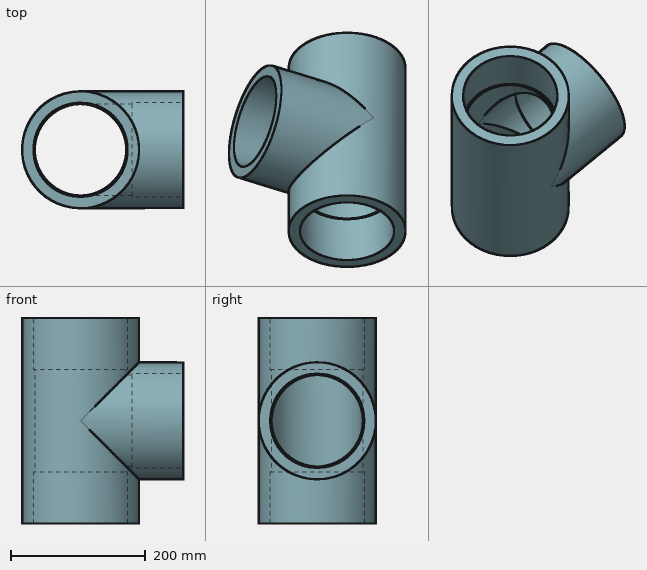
import cadquery as cq

run_length = 306.0
branch_length = run_length / 2
outer_diameter = 174.0
socket_diameter = 140.0
bore_diameter = 136.0
socket_depth = 76.5


def run_cylinder(diameter):
    """Full-length cylinder along the vertical run."""
    return cq.Workplane("XY").circle(diameter / 2).extrude(run_length / 2, both=True)


def branch_cylinder(diameter):
    """Cylinder from the run axis to the branch mouth."""
    return cq.Workplane("YZ").circle(diameter / 2).extrude(branch_length)


def socket(plane, mouth_offset, inward):
    """Pipe socket cut inward from one mouth of the tee."""
    mouth = cq.Workplane(plane).workplane(offset=mouth_offset)
    return mouth.circle(socket_diameter / 2).extrude(inward * socket_depth)


body = run_cylinder(outer_diameter).union(branch_cylinder(outer_diameter))

body = body.cut(run_cylinder(bore_diameter))
body = body.cut(branch_cylinder(bore_diameter))

body = body.cut(socket("XY", run_length / 2, -1))
body = body.cut(socket("XY", -run_length / 2, 1))
result = body.cut(socket("YZ", branch_length, -1))